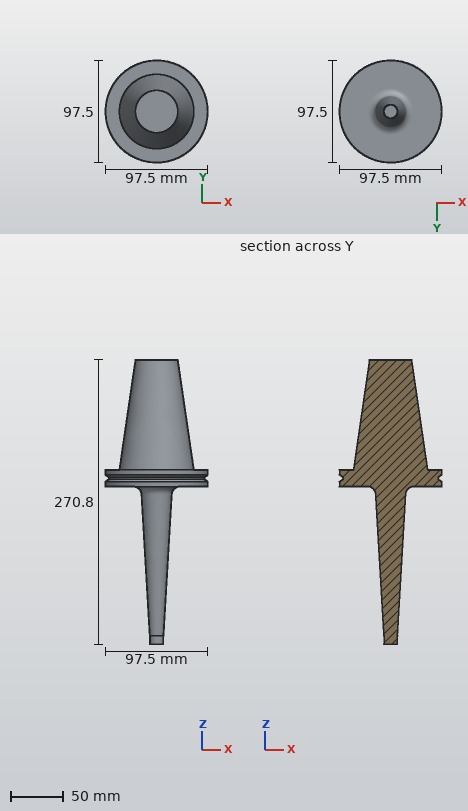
import cadquery as cq

total_height = 270.8
tip_height = 8.0
shank_top = 142.5
flange_bottom = 150.0
flange_top = 166.0

tip_diameter = 12.7
shank_small_diameter = 13.3
shank_large_diameter = 29.0
flange_diameter = 97.5
groove_diameter = 91.2
taper_large_diameter = 71.0
taper_small_diameter = 40.3

fillet_radius = flange_bottom - shank_top

lower_rim_height = 5.0
upper_rim_height = 5.0
groove_floor_height = 2.2


def revolved_body():
    """Tip, conical shank, flange and mounting taper as one revolved profile."""
    shank_radius = shank_large_diameter / 2
    flange_radius = flange_diameter / 2
    groove_radius = groove_diameter / 2
    groove_bottom = flange_bottom + lower_rim_height
    groove_top = flange_top - upper_rim_height
    groove_middle = (groove_bottom + groove_top) / 2
    floor_bottom = groove_middle - groove_floor_height / 2
    floor_top = groove_middle + groove_floor_height / 2
    arc_drop = fillet_radius * (1 - 0.5 ** 0.5)
    profile = (
        cq.Workplane("XZ")
        .lineTo(tip_diameter / 2, 0)
        .lineTo(tip_diameter / 2, tip_height)
        .lineTo(shank_small_diameter / 2, tip_height)
        .lineTo(shank_radius, shank_top)
        .threePointArc(
            (shank_radius + arc_drop, flange_bottom - arc_drop),
            (shank_radius + fillet_radius, flange_bottom),
        )
        .lineTo(flange_radius, flange_bottom)
        .lineTo(flange_radius, groove_bottom)
        .lineTo(groove_radius, floor_bottom)
        .lineTo(groove_radius, floor_top)
        .lineTo(flange_radius, groove_top)
        .lineTo(flange_radius, flange_top)
        .lineTo(taper_large_diameter / 2, flange_top)
        .lineTo(taper_small_diameter / 2, total_height)
        .lineTo(0, total_height)
        .close()
    )
    return profile.revolve(360, (0, 0, 0), (0, 1, 0))


result = revolved_body()